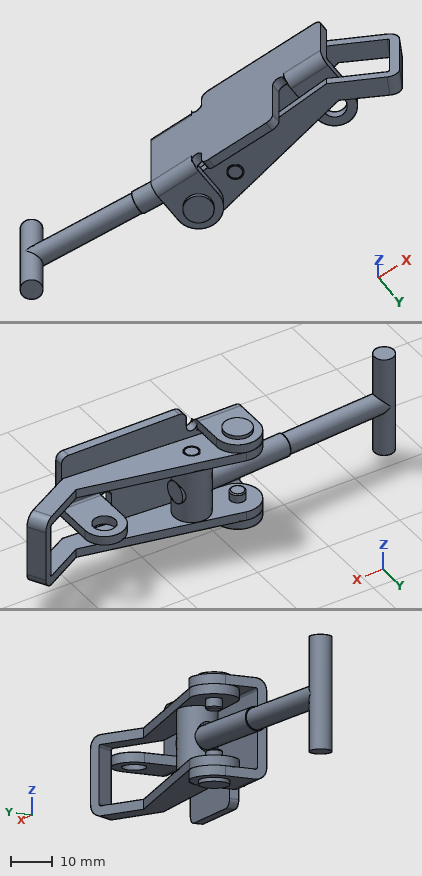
import cadquery as cq
import math


sheet = 2.5
bend_outer = 3.0
bend_inner = bend_outer - sheet
fit_width = 19.9

pivot_y = 11.0
lug_radius = 6.0
relief_radius = 1.5
relief_floor = 10.0
relief_center_z = relief_floor + relief_radius
wing_half = 32.0 / 2
wing_corner = 2.0
wing_left = lug_radius + 2 * relief_radius
lower_wing_right = 30.1
tab_relief_radius = 1.6
tab_left = lower_wing_right + 2 * tab_relief_radius
tab_radius = 5.5
tab_right = tab_left + 2 * tab_radius
tab_center_x = tab_left + tab_radius
tab_height = 18.5
tab_center_y = tab_height - tab_radius
tab_hole_diameter = 6.0
tab_bend_z = bend_outer - sheet / 2
tab_relief_z = -0.4
channel_half = fit_width / 2 + sheet

rivet_head_diameter = 7.5
rivet_head_height = 1.0
rivet_shank_diameter = 4.1
rivet_tip_length = 2.5
pin_chamfer = 0.3

arm_gap = fit_width - 2 * sheet
knee_top = (43.6, 8.1)
knee_bottom = (44.0, 2.7)
handle_angle = 29.0
handle_length = 17.6
handle_depth = 5.1

barrel_x = 12.0
barrel_y = 9.5
barrel_radius = 4.9
trunnion_diameter = 4.1
countersink_diameter = 7.5

crossbar_x = -45.0
crossbar_y = 5.0
rod_diameter = 5.5
collar_diameter = 6.0
crossbar_length = 28.1
collar_start_x = -15.2


def z_cylinder(x, y, diameter, z_start, z_end):
    """Cylinder parallel to Z between two Z levels."""
    return (
        cq.Workplane("XY", origin=(x, y, z_start))
        .circle(diameter / 2)
        .extrude(z_end - z_start)
    )


def x_box(x_range, y_range, z_range):
    """Axis-aligned box from its three coordinate ranges."""
    sizes = [end - start for start, end in (x_range, y_range, z_range)]
    corner = (x_range[0], y_range[0], z_range[0])
    return cq.Workplane("XY").box(*sizes, centered=False).translate(corner)


def rounded_tongue(center_x, center_y, radius):
    """Tongue that rises from Y = 0 and ends in a half circle, as wide in Z as the whole part."""
    return (
        cq.Workplane("XY")
        .moveTo(center_x - radius, 0)
        .lineTo(center_x + radius, 0)
        .lineTo(center_x + radius, center_y)
        .threePointArc((center_x, center_y + radius), (center_x - radius, center_y))
        .close()
        .extrude(wing_half, both=True)
    )


def make_plate():
    relief_mid_x = lug_radius + relief_radius
    tab_relief_mid_x = lower_wing_right + tab_relief_radius
    plate = (
        cq.Workplane("XZ")
        .moveTo(lug_radius, -relief_center_z)
        .threePointArc((relief_mid_x, -relief_floor), (wing_left, -relief_center_z))
        .lineTo(wing_left, -wing_half)
        .lineTo(lower_wing_right, -wing_half)
        .lineTo(lower_wing_right, tab_relief_z)
        .threePointArc((tab_relief_mid_x, tab_relief_z + tab_relief_radius), (tab_left, tab_relief_z))
        .lineTo(tab_left, tab_bend_z)
        .lineTo(tab_right, tab_bend_z)
        .lineTo(tab_right, wing_half)
        .lineTo(wing_left, wing_half)
        .lineTo(wing_left, relief_center_z)
        .threePointArc((relief_mid_x, relief_floor), (lug_radius, relief_center_z))
        .close()
        .extrude(-sheet)
    )
    return plate.faces(">Z or <Z").edges("|Y").fillet(wing_corner)


def make_lugs():
    """U channel with two rounded lugs drilled for the rivets."""
    lug_span = (-lug_radius, lug_radius)
    height = pivot_y + lug_radius
    outside = x_box(lug_span, (0, height), (-channel_half, channel_half))
    outside = outside.edges("|X and <Y").fillet(bend_outer)
    inside = x_box(lug_span, (sheet, height), (-fit_width / 2, fit_width / 2))
    inside = inside.edges("|X and <Y").fillet(bend_inner)
    channel = outside.cut(inside).intersect(rounded_tongue(0, pivot_y, lug_radius))
    return channel.cut(z_cylinder(0, pivot_y, rivet_shank_diameter, -channel_half, channel_half))


def make_tab():
    """Eye tab on the mid-plane, bent up from the edge of the upper wing."""
    tab_span = (tab_left, tab_right)
    flange_end = 2 * tab_bend_z
    outside = x_box(tab_span, (0, tab_height), (-sheet / 2, flange_end))
    outside = outside.edges("|X and <Y and <Z").fillet(bend_outer)
    inside = x_box(tab_span, (sheet, tab_height), (sheet / 2, flange_end))
    inside = inside.edges("|X and <Y and <Z").fillet(bend_inner)
    tab = outside.cut(inside).intersect(rounded_tongue(tab_center_x, tab_center_y, tab_radius))
    return tab.cut(z_cylinder(tab_center_x, tab_center_y, tab_hole_diameter, -sheet, sheet))


def make_bracket():
    return make_plate().union(make_lugs()).union(make_tab())


def make_rivet(side):
    """Headed rivet through one lug and one lever arm; side is +1 or -1 along Z."""
    tip_z = arm_gap / 2 - rivet_tip_length
    shank = z_cylinder(0, pivot_y, rivet_shank_diameter, tip_z, channel_half)
    shank = shank.faces("<Z").chamfer(pin_chamfer)
    head = z_cylinder(0, pivot_y, rivet_head_diameter, channel_half, channel_half + rivet_head_height)
    rivet = shank.union(head)
    return rivet if side > 0 else rivet.mirror("XY")


def tangent_point(target, side):
    """Point where the line from target touches the round pivot end; side +1 is its upper edge."""
    dx = target[0]
    dy = target[1] - pivot_y
    angle = math.atan2(dy, dx) + side * math.acos(lug_radius / math.hypot(dx, dy))
    return lug_radius * math.cos(angle), pivot_y + lug_radius * math.sin(angle)


def make_lever():
    slope = math.radians(handle_angle)
    along = (math.cos(slope), math.sin(slope))
    tip_bottom = (
        knee_bottom[0] + handle_length * along[0],
        knee_bottom[1] + handle_length * along[1],
    )
    tip_top = (
        tip_bottom[0] - handle_depth * along[1],
        tip_bottom[1] + handle_depth * along[0],
    )
    blank = (
        cq.Workplane("XY")
        .moveTo(*tangent_point(knee_bottom, -1))
        .lineTo(*knee_bottom)
        .lineTo(*tip_bottom)
        .lineTo(*tip_top)
        .lineTo(*knee_top)
        .lineTo(*tangent_point(knee_top, 1))
        .threePointArc((-lug_radius, pivot_y), tangent_point(knee_bottom, -1))
        .close()
        .extrude(fit_width / 2, both=True)
    )

    handle_frame = cq.Plane(
        origin=(*tip_bottom, 0),
        xDir=(*along, 0),
        normal=(0, 0, 1),
    )
    reach = 2 * (tip_bottom[0] + lug_radius)

    def handle_block(end_x, width, corner):
        block = x_box((end_x - reach, end_x), (-reach / 2, reach / 2), (-width / 2, width / 2))
        block = block.faces(">X").edges("|Y").fillet(corner)
        return cq.Workplane(block.val().moved(cq.Location(handle_frame)))

    lever = blank.intersect(handle_block(0, fit_width, bend_outer))
    lever = lever.cut(handle_block(-sheet, arm_gap, bend_inner))
    lever = lever.cut(z_cylinder(0, pivot_y, rivet_shank_diameter, -fit_width, fit_width))
    return lever.cut(z_cylinder(barrel_x, barrel_y, trunnion_diameter, -fit_width, fit_width))


rod_run = math.hypot(barrel_x - crossbar_x, barrel_y - crossbar_y)
rod_axis = cq.Vector((barrel_x - crossbar_x) / rod_run, (barrel_y - crossbar_y) / rod_run, 0)
crossbar_center = cq.Vector(crossbar_x, crossbar_y, 0)
rod_end = rod_run + barrel_radius


def rod_segment(diameter, start, end):
    """Cylinder on the rod axis; start and end are distances from the crossbar axis."""
    start_point = crossbar_center + rod_axis * start
    return cq.Workplane(cq.Solid.makeCylinder(diameter / 2, end - start, start_point, rod_axis))


def make_barrel():
    body = z_cylinder(barrel_x, barrel_y, 2 * barrel_radius, -arm_gap / 2, arm_gap / 2)
    trunnions = z_cylinder(barrel_x, barrel_y, trunnion_diameter, -fit_width / 2, fit_width / 2)
    trunnions = trunnions.faces("<Z or >Z").chamfer(pin_chamfer)
    barrel = body.union(trunnions)

    mouth = rod_run - barrel_radius
    cone_radius = countersink_diameter / 2
    countersink = cq.Solid.makeCone(
        cone_radius, 0, cone_radius, crossbar_center + rod_axis * mouth, rod_axis
    )
    return barrel.cut(rod_segment(collar_diameter, mouth, rod_end)).cut(cq.Workplane(countersink))


def make_t_rod():
    collar_start = (collar_start_x - crossbar_x) / rod_axis.x
    crossbar = z_cylinder(crossbar_x, crossbar_y, rod_diameter, -crossbar_length / 2, crossbar_length / 2)
    rod = rod_segment(rod_diameter, 0, collar_start)
    collar = rod_segment(collar_diameter, collar_start, rod_end)
    return crossbar.union(rod).union(collar)


bracket = make_bracket()
lever = make_lever()
barrel = make_barrel()
t_rod = make_t_rod()
rivets = [make_rivet(side) for side in (1, -1)]

result = cq.Compound.makeCompound([
    bracket.val(),
    lever.val(),
    barrel.val(),
    t_rod.val(),
    *[rivet.val() for rivet in rivets],
])